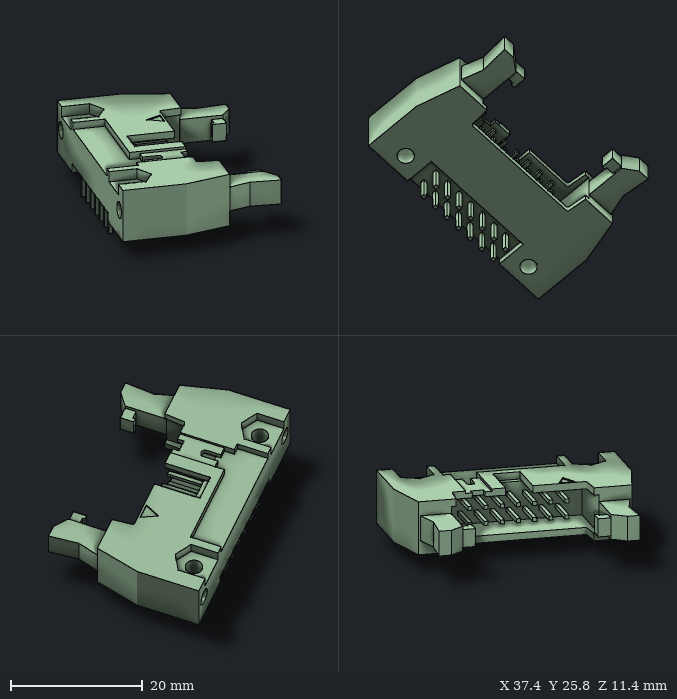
import cadquery as cq
import math


housing_width = 37.4
housing_height = 8.45
straight_side_length = 10.1
ear_front = 17.35
ear_outer_half = 16.8
ear_inner_half = 10.85
mouth_edge = 13.88
mouth_half = 10.55
mouth_corner_radius = 0.37

wall = 1.15
cavity_floor = 7.45
cavity_half = 11.6

pitch = 2.55
contact_count = 7
contact_size = 0.65
contact_tip = 13.5
tail_length = 2.95
first_tail_row = 1.1

cover_recess_half = 9.57
cover_recess_length = 5.0
tail_recess_half = 10.1
tail_recess_height = 1.42

slot_width = 4.25
slot_end = 6.45
channel_center = 6.35
channel_width = 4.1
channel_depth = 0.37
channel_step = 6.65
key_width = 1.27
key_end = 9.6
notch_width = 2.02
notch_length = 1.0

hole_diameter = 2.6
mount_x = 13.5
mount_y = 2.88
nut_across_flats = 5.27
nut_depth = 1.7
rear_hole_x = 16.55
rear_hole_drop = 4.05
rear_hole_depth = 3.75

mark_x = -7.63
mark_half_width = 1.27
mark_base = 13.5
mark_tip = 11.05
mark_depth = 0.2

latch_height = 3.95
latch_front = 25.75
latch_inner = 11.65
latch_nose = 13.85
latch_front_outer = 15.8
latch_waist_outer = 15.37
latch_waist = 20.95
latch_root_outer = 16.45
hook_height = 2.88
hook_reach = 9.65
hook_front = 24.15
hook_back = 22.35
hook_lip_back = 21.95
hook_lip_inner = 10.32


def block(x_min, x_max, y_min, y_max, z_min, z_max):
    """Box given by its limits along each axis."""
    return (
        cq.Workplane("XY")
        .box(x_max - x_min, y_max - y_min, z_max - z_min, centered=False)
        .translate((x_min, y_min, z_min))
    )


def centered_prism(points, height):
    """Outline in XY extruded symmetrically about mid-height of the housing."""
    return (
        cq.Workplane("XY")
        .workplane(offset=(housing_height - height) / 2)
        .polyline(points)
        .close()
        .extrude(height)
    )


def housing_shell():
    """Outer body with two ears, hollowed by the mating cavity."""
    side = housing_width / 2
    right_half = [
        (side, 0),
        (side, straight_side_length),
        (ear_outer_half, ear_front),
        (ear_inner_half, ear_front),
        (mouth_half, mouth_edge),
    ]
    left_half = [(-x, y) for x, y in reversed(right_half)]
    body = centered_prism(right_half + left_half, housing_height)
    for x in (-mouth_half, mouth_half):
        corner = cq.selectors.NearestToPointSelector((x, mouth_edge, housing_height / 2))
        body = body.edges(corner).fillet(mouth_corner_radius)
    cavity = block(-cavity_half, cavity_half, cavity_floor, ear_front, wall, housing_height - wall)
    return body.cut(cavity)


def rear_recesses():
    """Shallow step in the top and the clearance over the contact tails."""
    top_step = block(
        -cover_recess_half, cover_recess_half, 0, cover_recess_length,
        housing_height - wall, housing_height,
    )
    tail_clearance = block(
        -tail_recess_half, tail_recess_half, 0, cover_recess_length, 0, tail_recess_height,
    )
    return top_step.union(tail_clearance)


def polarising_slot():
    """Open slot through the top wall."""
    return block(
        -slot_width / 2, slot_width / 2, slot_end, mouth_edge,
        housing_height - wall, housing_height,
    )


def key_channel():
    """Shallow channel with a deeper rear step, a round-ended key slot and a front notch."""
    def strip(width, y_min, y_max, depth):
        return block(
            channel_center - width / 2, channel_center + width / 2, y_min, y_max,
            housing_height - depth, housing_height,
        )

    channel = strip(channel_width, cover_recess_length, mouth_edge, channel_depth)
    rear_step = strip(channel_width, cover_recess_length, channel_step, wall)
    notch = strip(notch_width, mouth_edge - notch_length, mouth_edge, wall)
    key_arc_center = key_end - key_width / 2
    key_slot = strip(key_width, channel_step, key_arc_center, wall)
    key_round = (
        cq.Workplane("XY")
        .workplane(offset=housing_height - wall)
        .center(channel_center, key_arc_center)
        .circle(key_width / 2)
        .extrude(wall)
    )
    return channel.union(rear_step).union(notch).union(key_slot).union(key_round)


def mounting_cut(x):
    """Vertical through hole with a nut pocket open to the rear face."""
    hole = cq.Workplane("XY").center(x, mount_y).circle(hole_diameter / 2).extrude(housing_height)
    half_flats = nut_across_flats / 2
    corner = half_flats * math.tan(math.radians(30))
    apex = half_flats / math.cos(math.radians(30))
    pocket = (
        cq.Workplane("XY")
        .workplane(offset=housing_height - nut_depth)
        .polyline([
            (x - half_flats, 0),
            (x + half_flats, 0),
            (x + half_flats, mount_y + corner),
            (x, mount_y + apex),
            (x - half_flats, mount_y + corner),
        ])
        .close()
        .extrude(nut_depth)
    )
    return hole.union(pocket)


def rear_hole(x):
    """Blind hole in the rear face."""
    return (
        cq.Workplane("XZ")
        .center(x, housing_height - rear_hole_drop)
        .circle(hole_diameter / 2)
        .extrude(-rear_hole_depth)
    )


def contact_mark():
    """Engraved triangle at contact 1."""
    return (
        cq.Workplane("XY")
        .workplane(offset=housing_height - mark_depth)
        .polyline([
            (mark_x - mark_half_width, mark_base),
            (mark_x + mark_half_width, mark_base),
            (mark_x, mark_tip),
        ])
        .close()
        .extrude(mark_depth)
    )


def contact(x, row):
    """Mating pin in the cavity and solder tail below, both anchored in the housing."""
    half = contact_size / 2
    anchor = 0.37
    pin_z = housing_height / 2 + (row - 0.5) * pitch
    tail_y = first_tail_row + row * pitch
    pin = block(x - half, x + half, cavity_floor - anchor, contact_tip, pin_z - half, pin_z + half)
    tail = block(
        x - half, x + half, tail_y - half, tail_y + half,
        -tail_length, tail_recess_height + anchor,
    )
    return pin, tail


def right_latch():
    """Lever projecting from the right ear, with an inward hook."""
    lever = centered_prism([
        (latch_inner, ear_front),
        (latch_inner, hook_front),
        (latch_nose, latch_front),
        (latch_front_outer, latch_front),
        (latch_waist_outer, latch_waist),
        (latch_root_outer, ear_front),
    ], latch_height)
    hook = centered_prism([
        (latch_inner, hook_front),
        (hook_reach, hook_front),
        (hook_reach, hook_lip_back),
        (hook_lip_inner, hook_lip_back),
        (hook_lip_inner, hook_back),
        (latch_inner, hook_back),
    ], hook_height)
    return lever.union(hook)


result = housing_shell()
result = result.cut(rear_recesses()).cut(polarising_slot()).cut(key_channel()).cut(contact_mark())

for side in (-1, 1):
    result = result.cut(mounting_cut(side * mount_x)).cut(rear_hole(side * rear_hole_x))

for column in range(contact_count):
    column_x = (column - (contact_count - 1) / 2) * pitch
    for row in range(2):
        pin, tail = contact(column_x, row)
        result = result.union(pin).union(tail)

latch = right_latch()
result = result.union(latch).union(latch.mirror("YZ"))